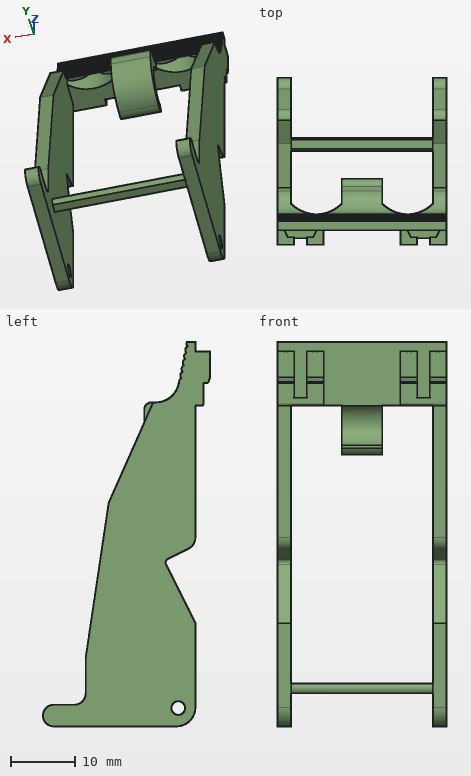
import cadquery as cq
import math

WIDTH = 26.4
HEIGHT = 60.0
DEPTH_BEHIND = 23.8
HALF_WIDTH = WIDTH / 2
DIAGONAL = math.sqrt(0.5)

LEG_THICKNESS = 2.15
INNER_HALF_WIDTH = HALF_WIDTH - LEG_THICKNESS
TOE_HEIGHT = 3.4
TOE_RADIUS = TOE_HEIGHT / 2
HEEL_Y = 17.15
HEEL_TOP_Z = 10.7
HEEL_FILLET = 1.75
KNEE_Y, KNEE_Z = 13.55, 34.9
FRONT_CORNER_RADIUS = 3.0

NOTCH_BOTTOM_Z = 16.15
NOTCH_TOP_Z = 28.25
NOTCH_DEPTH = 4.85
NOTCH_ROOT_Z = 25.85
NOTCH_ROOT_FILLET = 0.6
NOTCH_LIP_FILLET = 2.05

PIVOT_Y, PIVOT_Z = 2.7, 2.9
PIVOT_DIAMETER = 2.1
ROD_Y, ROD_Z = 13.4, 5.95
ROD_DIAMETER = 2.1
ROD_HEIGHT = 1.55

PLATE_BOTTOM_Z = 50.05
PLATE_TOP_THICKNESS = 1.4
SHELF_Z = 50.6
SHELF_END_Y = 6.6
GRIP_LEAN = math.radians(11)
GRIP_FILLET = 3.6

GROOVE_COUNT = 6
GROOVE_SPAN = 5.0
GROOVE_PITCH = GROOVE_SPAN / (GROOVE_COUNT - 1)
GROOVE_DEPTH = 0.25
GROOVE_HALF_WIDTH = 0.3
TOP_GROOVE_Z = 59.35

HOOK_WIDTH = 6.35
OPENING_SIDE_Y = 4.15
OPENING_END_Y = 2.5

HOOK_REAR_Y = 8.05
HOOK_BOTTOM_Z = 42.4
HOOK_TOP_FILLET = 1.2
HOOK_CENTER_Y = 2.5
HOOK_INNER_RADIUS = 3.3
HOOK_INNER_CENTER_Z = 47.0
HOOK_OUTER_RADIUS = HOOK_REAR_Y - HOOK_CENTER_Y
HOOK_TIP_ANGLE = math.radians(20)
HOOK_TIP_Y, HOOK_TIP_Z = 0.5, 43.4

CLIP_WIDTH = 7.2
CLIP_TOP_Z = 58.5
CLIP_PROUD = 2.3
CLIP_TAPER_Z = 54.5
CLIP_STEP_Z = 53.6
CLIP_TAPER = 0.25
CLIP_EDGE = 0.2
LEDGE_PROUD = 1.25
LEDGE_FILLET = 0.3
SLOT_WIDTH = 2.0
SLOT_BOTTOM_Z = 51.3
DOVETAIL_FLOOR_WIDTH = 5.05
DOVETAIL_MOUTH_WIDTH = 3.95
DOVETAIL_DEPTH = 1.1


def extrude_between(profile, x_start, x_end):
    """Extrude a closed YZ profile from x_start to x_end."""
    return profile.extrude(x_end - x_start).translate((x_start, 0, 0))


def box_between(x_range, y_range, z_range):
    """Axis-aligned box spanning the given ranges."""
    spans = (x_range, y_range, z_range)
    size = [high - low for low, high in spans]
    return cq.Workplane("XY").box(*size, centered=False).translate([low for low, _ in spans])


def grip_y(z):
    """Y of the leaning rear face of the plate at height z."""
    return PLATE_TOP_THICKNESS + (HEIGHT - z) * math.tan(GRIP_LEAN)


def fillet_x_edge(solid, y, z, radius):
    """Round the edges parallel to X that pass through (y, z)."""
    reach = 0.03
    selector = cq.selectors.BoxSelector(
        (-WIDTH, y - reach, z - reach), (WIDTH, y + reach, z + reach)
    )
    return solid.edges(selector).fillet(radius)


def make_leg_blank():
    """Full-width extrusion of the side outline, before the middle is opened up."""
    toe_center_y = DEPTH_BEHIND - TOE_RADIUS
    outline = (
        cq.Workplane("YZ")
        .moveTo(0, 0)
        .lineTo(toe_center_y, 0)
        .threePointArc((DEPTH_BEHIND, TOE_RADIUS), (toe_center_y, TOE_HEIGHT))
        .lineTo(HEEL_Y, TOE_HEIGHT)
        .lineTo(HEEL_Y, HEEL_TOP_Z)
        .lineTo(KNEE_Y, KNEE_Z)
        .lineTo(SHELF_END_Y, SHELF_Z)
        .lineTo(grip_y(SHELF_Z), SHELF_Z)
        .lineTo(PLATE_TOP_THICKNESS, HEIGHT)
        .lineTo(0, HEIGHT)
        .lineTo(0, NOTCH_TOP_Z)
        .lineTo(NOTCH_DEPTH, NOTCH_ROOT_Z)
        .lineTo(0, NOTCH_BOTTOM_Z)
        .close()
    )
    blank = extrude_between(outline, -HALF_WIDTH, HALF_WIDTH)
    rounded_edges = (
        (0, 0, FRONT_CORNER_RADIUS),
        (HEEL_Y, TOE_HEIGHT, HEEL_FILLET),
        (grip_y(SHELF_Z), SHELF_Z, GRIP_FILLET),
        (0, NOTCH_TOP_Z, NOTCH_LIP_FILLET),
        (NOTCH_DEPTH, NOTCH_ROOT_Z, NOTCH_ROOT_FILLET),
    )
    for y, z, radius in rounded_edges:
        blank = fillet_x_edge(blank, y, z, radius)
    return blank


def make_leg_gap():
    """Space between the legs, below the plate and shelf."""
    inner = (-INNER_HALF_WIDTH, INNER_HALF_WIDTH)
    return box_between(inner, (-CLIP_PROUD, DEPTH_BEHIND), (0, PLATE_BOTTOM_Z))


def make_shelf_opening(side):
    """Round-ended cutout through the shelf between the hook and one leg (side is -1 or 1)."""
    near_x = side * HOOK_WIDTH / 2
    far_x = side * INNER_HALF_WIDTH
    return (
        cq.Workplane("XY", origin=(0, 0, PLATE_BOTTOM_Z))
        .moveTo(near_x, DEPTH_BEHIND)
        .lineTo(near_x, OPENING_SIDE_Y)
        .threePointArc(((near_x + far_x) / 2, OPENING_END_Y), (far_x, OPENING_SIDE_Y))
        .lineTo(far_x, DEPTH_BEHIND)
        .close()
        .extrude(HEIGHT - PLATE_BOTTOM_Z)
    )


def make_grip_groove(index):
    """One V groove across the leaning rear face."""
    z = TOP_GROOVE_Z - index * GROOVE_PITCH
    low_z = z - GROOVE_HALF_WIDTH
    high_z = z + GROOVE_HALF_WIDTH
    profile = (
        cq.Workplane("YZ")
        .moveTo(grip_y(low_z), low_z)
        .lineTo(grip_y(z) - GROOVE_DEPTH, z)
        .lineTo(grip_y(high_z), high_z)
        .lineTo(grip_y(low_z), high_z)
        .close()
    )
    return extrude_between(profile, -HALF_WIDTH, HALF_WIDTH)


def make_hook():
    """J-shaped hook hanging from the shelf, curling forward under the plate."""
    root_rise = PLATE_BOTTOM_Z - HOOK_INNER_CENTER_Z
    root_y = HOOK_CENTER_Y + math.sqrt(HOOK_INNER_RADIUS**2 - root_rise**2)
    lip_y = HOOK_CENTER_Y - HOOK_INNER_RADIUS * math.sin(HOOK_TIP_ANGLE)
    lip_z = HOOK_INNER_CENTER_Z - HOOK_INNER_RADIUS * math.cos(HOOK_TIP_ANGLE)
    outer_center_z = HOOK_BOTTOM_Z + HOOK_OUTER_RADIUS
    tip_run = HOOK_CENTER_Y - HOOK_TIP_Y
    tip_drop = HOOK_TIP_Z - HOOK_BOTTOM_Z
    outer_mid = HOOK_OUTER_RADIUS * DIAGONAL
    profile = (
        cq.Workplane("YZ")
        .moveTo(root_y, SHELF_Z)
        .lineTo(root_y, PLATE_BOTTOM_Z)
        .threePointArc(
            (HOOK_CENTER_Y + HOOK_INNER_RADIUS, HOOK_INNER_CENTER_Z), (lip_y, lip_z)
        )
        .lineTo(HOOK_TIP_Y, HOOK_TIP_Z)
        .threePointArc(
            (HOOK_CENTER_Y - tip_run * DIAGONAL, HOOK_TIP_Z - tip_drop * DIAGONAL),
            (HOOK_CENTER_Y, HOOK_BOTTOM_Z),
        )
        .threePointArc(
            (HOOK_CENTER_Y + outer_mid, outer_center_z - outer_mid), (HOOK_REAR_Y, outer_center_z)
        )
        .lineTo(HOOK_REAR_Y, SHELF_Z)
        .close()
    )
    hook = extrude_between(profile, -HOOK_WIDTH / 2, HOOK_WIDTH / 2)
    return fillet_x_edge(hook, HOOK_REAR_Y, SHELF_Z, HOOK_TOP_FILLET)


def make_rod():
    """Cross rod between the legs, flattened on top and bottom."""
    span = (-INNER_HALF_WIDTH, INNER_HALF_WIDTH)
    rod = extrude_between(cq.Workplane("YZ").center(ROD_Y, ROD_Z).circle(ROD_DIAMETER / 2), *span)
    flats = box_between(
        span,
        (ROD_Y - ROD_DIAMETER, ROD_Y + ROD_DIAMETER),
        (ROD_Z - ROD_HEIGHT / 2, ROD_Z + ROD_HEIGHT / 2),
    )
    return rod.intersect(flats)


def make_clip(center_x):
    """Stepped block on the front face with a dovetail slot open at the top."""
    profile = (
        cq.Workplane("YZ")
        .moveTo(0, PLATE_BOTTOM_Z)
        .lineTo(0, CLIP_TOP_Z)
        .lineTo(-CLIP_PROUD, CLIP_TOP_Z)
        .lineTo(-CLIP_PROUD, CLIP_TAPER_Z)
        .lineTo(-CLIP_PROUD + CLIP_TAPER, CLIP_STEP_Z + CLIP_EDGE)
        .lineTo(-CLIP_PROUD + CLIP_TAPER + CLIP_EDGE, CLIP_STEP_Z)
        .lineTo(-LEDGE_PROUD, CLIP_STEP_Z)
        .lineTo(-LEDGE_PROUD, PLATE_BOTTOM_Z)
        .close()
    )
    clip = extrude_between(profile, -CLIP_WIDTH / 2, CLIP_WIDTH / 2)
    clip = fillet_x_edge(clip, -LEDGE_PROUD, PLATE_BOTTOM_Z, LEDGE_FILLET)
    slot_z = (SLOT_BOTTOM_Z, CLIP_TOP_Z)
    slot = box_between((-SLOT_WIDTH / 2, SLOT_WIDTH / 2), (-CLIP_PROUD, 0), slot_z)
    dovetail = (
        cq.Workplane("XY", origin=(0, 0, SLOT_BOTTOM_Z))
        .polyline([
            (-DOVETAIL_FLOOR_WIDTH / 2, 0),
            (DOVETAIL_FLOOR_WIDTH / 2, 0),
            (DOVETAIL_MOUTH_WIDTH / 2, -DOVETAIL_DEPTH),
            (-DOVETAIL_MOUTH_WIDTH / 2, -DOVETAIL_DEPTH),
        ])
        .close()
        .extrude(CLIP_TOP_Z - SLOT_BOTTOM_Z)
    )
    return clip.cut(slot).cut(dovetail).translate((center_x, 0, 0))


def make_pivot_holes():
    """Aligned holes through both legs."""
    bore = cq.Workplane("YZ").center(PIVOT_Y, PIVOT_Z).circle(PIVOT_DIAMETER / 2)
    return extrude_between(bore, -HALF_WIDTH, HALF_WIDTH)


body = make_leg_blank().cut(make_leg_gap()).cut(make_pivot_holes())
for index in range(GROOVE_COUNT):
    body = body.cut(make_grip_groove(index))
for side in (-1, 1):
    body = body.cut(make_shelf_opening(side))
    body = body.union(make_clip(side * (HALF_WIDTH - CLIP_WIDTH / 2)))

result = body.union(make_hook()).union(make_rod())